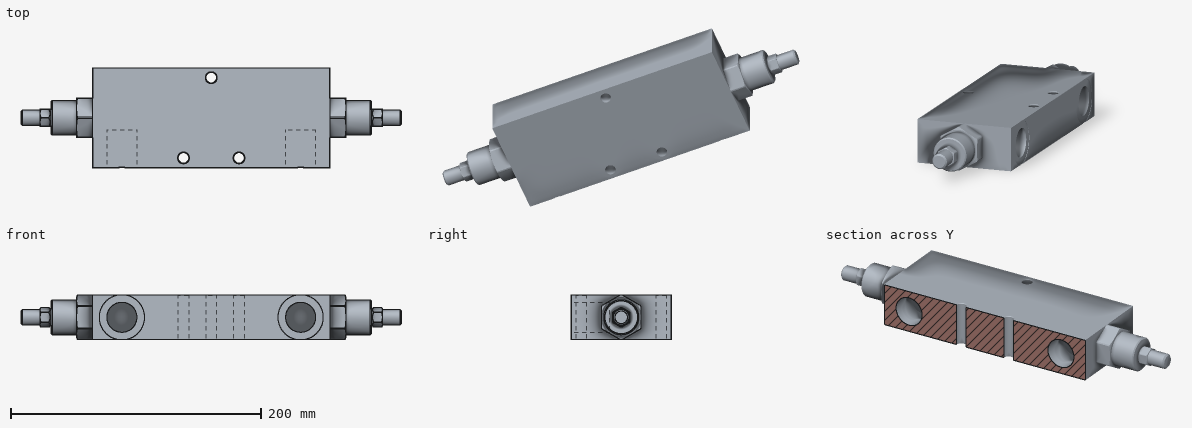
import cadquery as cq

total_length = 304.0
block_length = 189.7
block_width = 80.0
block_height = 36.0

port_diameter = 24.0
port_depth = 30.5
port_offset = 71.5
spotface_diameter = 36.2
spotface_depth = 0.3

mount_diameter = 8.5
mount_rim_diameter = 9.5
mount_rim_angle = 90
mount_edge_distance = 8.0
mount_offset = 22.2

body_nut_flats = 31.5
body_nut_corners = block_height
body_nut_face_diameter = body_nut_flats
body_nut_length = 12.8
body_nut_chamfer = 0.5
cap_diameter = 28.0
cap_length = 20.5
cap_chamfer = 1.0
lock_nut_flats = 14.0
lock_nut_corners = 15.8
lock_nut_inner_diameter = 12.5
lock_nut_outer_diameter = lock_nut_flats
lock_nut_length = 8.8
lock_nut_inner_chamfer = 1.8
lock_nut_outer_chamfer = 0.5
stem_diameter = 12.5
stem_chamfer = 1.2

cap_start = block_length / 2 + body_nut_length
lock_nut_start = cap_start + cap_length
stem_end = total_length / 2


def revolve_about_x(outline):
    """Solid of revolution from (x, radius) points that start and end on the X axis."""
    return cq.Workplane("XY").polyline(outline).close().revolve(360, (0, 0, 0), (1, 0, 0))


def hex_prism(start, length, flats):
    """Hexagonal bar along +X from a start position, with two flats facing +Y and -Y."""
    hexagon = cq.Workplane("YZ", origin=(start, 0, 0))
    return hexagon.polygon(6, flats, circumscribed=True).extrude(length)


def make_block():
    """Valve block with countersunk mounting holes and spotfaced blind ports."""
    block = cq.Workplane("XY").box(block_length, block_width, block_height)
    mount_y = block_width / 2 - mount_edge_distance
    mount_points = [(0, mount_y), (-mount_offset, -mount_y), (mount_offset, -mount_y)]
    block = (
        block.faces(">Z")
        .workplane(origin=(0, 0, 0))
        .pushPoints(mount_points)
        .cskHole(mount_diameter, mount_rim_diameter, mount_rim_angle)
    )
    front_face = cq.Workplane("XZ", origin=(0, -block_width / 2, 0))
    port_points = front_face.pushPoints([(-port_offset, 0), (port_offset, 0)])
    ports = port_points.circle(port_diameter / 2).extrude(-port_depth)
    spotfaces = port_points.circle(spotface_diameter / 2).extrude(-spotface_depth)
    return block.cut(ports).cut(spotfaces)


def make_body_nut():
    """Hexagon with turned-down corners, chamfered on its outer face."""
    start = block_length / 2
    corner_radius = body_nut_corners / 2
    turned = revolve_about_x([
        (start, 0),
        (start, corner_radius),
        (cap_start - body_nut_chamfer, corner_radius),
        (cap_start, body_nut_face_diameter / 2),
        (cap_start, 0),
    ])
    return hex_prism(start, body_nut_length, body_nut_flats).intersect(turned)


def make_cap():
    """Round cap with a chamfered outer rim."""
    cap = cq.Workplane("YZ", origin=(cap_start, 0, 0)).circle(cap_diameter / 2).extrude(cap_length)
    return cap.faces(">X").chamfer(cap_chamfer)


def make_lock_nut():
    """Small hexagon with turned-down corners, chamfered at both ends."""
    end = lock_nut_start + lock_nut_length
    corner_radius = lock_nut_corners / 2
    turned = revolve_about_x([
        (lock_nut_start, 0),
        (lock_nut_start, lock_nut_inner_diameter / 2),
        (lock_nut_start + lock_nut_inner_chamfer, corner_radius),
        (end - lock_nut_outer_chamfer, corner_radius),
        (end, lock_nut_outer_diameter / 2),
        (end, 0),
    ])
    return hex_prism(lock_nut_start, lock_nut_length, lock_nut_flats).intersect(turned)


def make_stem():
    """Adjusting stem running through the lock nut, with a chamfered tip."""
    length = stem_end - lock_nut_start
    stem = cq.Workplane("YZ", origin=(lock_nut_start, 0, 0)).circle(stem_diameter / 2).extrude(length)
    return stem.faces(">X").chamfer(stem_chamfer)


adjuster = make_body_nut().union(make_cap()).union(make_lock_nut()).union(make_stem())
result = make_block().union(adjuster).union(adjuster.mirror("YZ"))